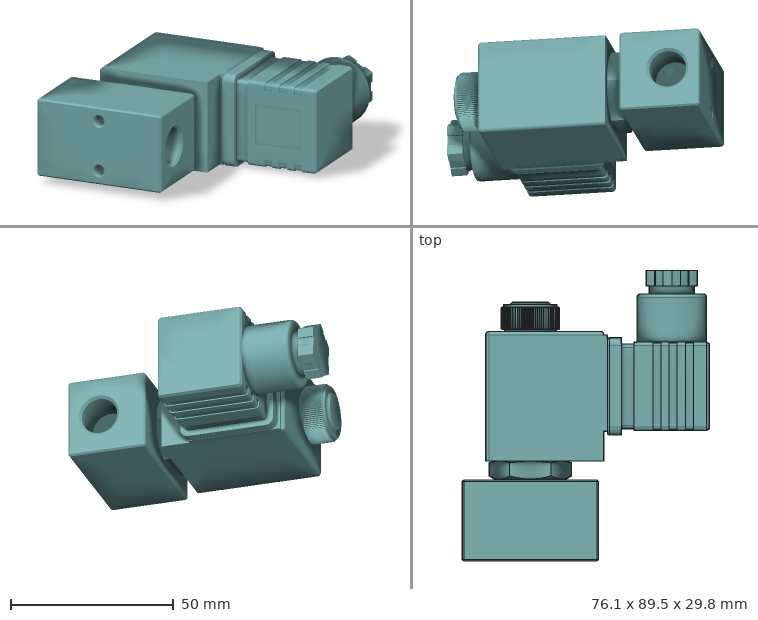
import cadquery as cq
import math


block_length = 42.0
block_size = 25.0
block_chamfer = 0.5
port_diameter = 11.45
port_mouth_diameter = 13.15
port_mouth_depth = 0.8
port_depth = 12.0
port_y = 9.9
mount_hole_diameter = 3.2
mount_mouth_diameter = 4.2
mount_mouth_depth = 0.45
mount_hole_depth = 6.0
mount_hole_spacing = 16.0
drill_point_angle = 118

hex_across_flats = 22.0
hex_length = 5.8
hex_front_face_diameter = 21.1
hex_front_chamfer = 1.25
hex_back_chamfer = 0.5

coil_left = -13.8
coil_right = 22.6
coil_length = 39.9
coil_height = 29.2
coil_fillet = 1.1
coil_front = block_size + hex_length
coil_back = coil_front + coil_length
pad_thickness = 1.1
pad_front = 39.9
pad_back = coil_back - coil_fillet

tube_diameter = 8.6
collar_diameter = 16.0
collar_length = 0.5
knurl_diameter = 18.1
knurl_length = 7.0
knurl_depth = 0.45
knurl_teeth = 90
knurl_chamfer = 0.4
shoulder_diameter = 16.5
shoulder_length = 0.7
cap_base_diameter = 12.6
cap_top_diameter = 10.9
cap_length = 0.8

plug_y = 53.8
flange_width = 30.05
flange_height = 29.8
flange_length = 4.3
flange_corner = 2.5
flange_chamfer_length = 0.7
flange_chamfer_inset = 0.4
neck_size = 26.2
neck_length = 3.9
shell_size = 27.3
shell_length = 23.2
shell_fillet = 1.1
shell_end_chamfer_length = 1.0
shell_end_chamfer_inset = 0.5
flange_x = coil_right + pad_thickness
neck_x = flange_x + flange_length
shell_x = neck_x + neck_length
groove_count = 3
groove_width = 2.5
groove_pitch = 5.0
groove_start = 7.0
groove_depth = 0.4
groove_side_reach = 2.5
label_start = 2.5
label_length = 15.65
label_height = 13.2
label_depth = 0.3

gland_x = shell_x + shell_length / 2
gland_diameter = 21.5
gland_back = 82.2
gland_fillet = 1.1
gland_neck_diameter = 13.95
gland_neck_length = 2.5
gland_nut_radius = 9.1
gland_nut_notch_depth = 0.5
overall_back = 89.45


def rod_y(diameter, start, end, x=0.0):
    """Cylinder along Y from start to end."""
    return cq.Workplane("XZ", origin=(x, start, 0)).circle(diameter / 2).extrude(start - end)


def turned_y(profile):
    """Body turned around the Y axis from (radius, y) points."""
    return cq.Workplane("XY").polyline(profile).close().revolve(360, (0, 0, 0), (0, 1, 0))


def plug_bar(width, height, start, length, corner):
    """Bar along X on the axis of the plug, with rounded long edges; its width is along Y."""
    bar = cq.Workplane("YZ", origin=(start, plug_y, 0)).rect(width, height).extrude(length)
    return bar.edges("|X").fillet(corner)


def drilled_hole(diameter, depth, mouth_diameter, mouth_depth, point_depth):
    """Cutter that points along +Y from Y = 0, with a conical mouth and a conical or flat bottom."""
    radius = diameter / 2
    return turned_y([
        (0, 0),
        (mouth_diameter / 2, 0),
        (radius, mouth_depth),
        (radius, depth),
        (0, depth + point_depth),
    ])


def make_port_block():
    block = cq.Workplane("XY").box(block_length, block_size, block_size)
    block = block.translate((0, block_size / 2, 0)).edges().chamfer(block_chamfer)

    port = drilled_hole(port_diameter, port_depth, port_mouth_diameter, port_mouth_depth, 0)
    for side in (-1, 1):
        cutter = port.rotate((0, 0, 0), (0, 0, 1), side * 90)
        block = block.cut(cutter.translate((side * block_length / 2, port_y, 0)))

    point_depth = mount_hole_diameter / 2 / math.tan(math.radians(drill_point_angle / 2))
    mount_hole = drilled_hole(
        mount_hole_diameter, mount_hole_depth, mount_mouth_diameter, mount_mouth_depth, point_depth
    )
    for side in (-1, 1):
        block = block.cut(mount_hole.translate((0, 0, side * mount_hole_spacing / 2)))
    return block


def make_hexagon():
    corner_radius = hex_across_flats / math.sqrt(3)
    hexagon = cq.Workplane("XZ", origin=(0, block_size, 0))
    hexagon = hexagon.polygon(6, 2 * corner_radius).extrude(-hex_length)
    chamfer_envelope = turned_y([
        (0, block_size),
        (hex_front_face_diameter / 2, block_size),
        (corner_radius, block_size + hex_front_chamfer),
        (corner_radius, coil_front - hex_back_chamfer),
        (hex_across_flats / 2, coil_front),
        (0, coil_front),
    ])
    return hexagon.intersect(chamfer_envelope)


def make_knurled_nut():
    knurl_start = coil_back + collar_length
    knurl_end = knurl_start + knurl_length
    shoulder_end = knurl_end + shoulder_length
    tip_radius = knurl_diameter / 2

    teeth = []
    for i in range(2 * knurl_teeth):
        angle = math.pi * i / knurl_teeth
        radius = tip_radius - knurl_depth * (i % 2)
        teeth.append((radius * math.cos(angle), radius * math.sin(angle)))
    knurl = cq.Workplane("XZ", origin=(0, knurl_start, 0)).polyline(teeth).close().extrude(-knurl_length)
    chamfer_envelope = turned_y([
        (0, knurl_start),
        (tip_radius - knurl_chamfer, knurl_start),
        (tip_radius, knurl_start + knurl_chamfer),
        (tip_radius, knurl_end - knurl_chamfer),
        (tip_radius - knurl_chamfer, knurl_end),
        (0, knurl_end),
    ])
    knurl = knurl.intersect(chamfer_envelope)

    collar = rod_y(collar_diameter, coil_back, knurl_start)
    shoulder = rod_y(shoulder_diameter, knurl_end, shoulder_end)
    cap = turned_y([
        (0, shoulder_end),
        (cap_base_diameter / 2, shoulder_end),
        (cap_top_diameter / 2, shoulder_end + cap_length),
        (0, shoulder_end + cap_length),
    ])
    return knurl.union(collar).union(shoulder).union(cap)


def make_valve():
    tube = rod_y(tube_diameter, coil_front, coil_back)
    return make_port_block().union(make_hexagon()).union(tube).union(make_knurled_nut())


def make_coil():
    coil = cq.Workplane("XY").box(coil_right - coil_left, coil_length, coil_height)
    coil = coil.translate(((coil_left + coil_right) / 2, coil_front + coil_length / 2, 0))
    coil = coil.edges("(<X and |Y) or >Y").fillet(coil_fillet)
    pad = cq.Workplane("XY").box(2 * pad_thickness, pad_back - pad_front, coil_height)
    pad = pad.translate((coil_right, (pad_front + pad_back) / 2, 0))
    tube_bore = rod_y(tube_diameter, coil_front, coil_back)
    return coil.union(pad).cut(tube_bore)


def make_flange():
    flange = plug_bar(flange_width, flange_height, flange_x, flange_length, flange_corner)
    return flange.faces("<X").chamfer(flange_chamfer_length, flange_chamfer_inset)


def make_shell():
    shell = plug_bar(shell_size, shell_size, shell_x, shell_length, shell_fillet)
    shell = shell.faces(">X").chamfer(shell_end_chamfer_length, shell_end_chamfer_inset)

    core_size = shell_size - 2 * groove_depth
    core = plug_bar(core_size, core_size, shell_x, shell_length, shell_fillet - groove_depth)
    for i in range(groove_count):
        groove_x = shell_x + groove_start + i * groove_pitch
        for side in (-1, 1):
            band = cq.Workplane("XY").box(groove_width, shell_size, groove_side_reach)
            band = band.translate((groove_x, plug_y, side * (shell_size - groove_side_reach) / 2))
            shell = shell.cut(band.cut(core))

    label = cq.Workplane("XY").box(label_length, 2 * label_depth, label_height)
    label_x = shell_x + label_start + label_length / 2
    return shell.cut(label.translate((label_x, plug_y - shell_size / 2, 0)))


def make_gland_nut(start):
    """Hexagon with a shallow notch across the middle third of each flat."""
    nut = cq.Workplane("XZ", origin=(gland_x, start, 0)).polygon(6, 2 * gland_nut_radius)
    nut = nut.extrude(start - overall_back).rotate((gland_x, 0, 0), (gland_x, 1, 0), 30)
    flat_distance = gland_nut_radius * math.cos(math.pi / 6)
    notch = cq.Workplane("XY").box(
        2 * gland_nut_notch_depth, overall_back - start, gland_nut_radius / 3
    ).translate((gland_x + flat_distance, (start + overall_back) / 2, 0))
    for i in range(6):
        nut = nut.cut(notch.rotate((gland_x, 0, 0), (gland_x, 1, 0), 60 * i))
    return nut


def make_gland():
    neck_end = gland_back + gland_neck_length
    barrel = rod_y(gland_diameter, plug_y, gland_back, gland_x).faces(">Y").edges().fillet(gland_fillet)
    neck = rod_y(gland_neck_diameter, gland_back, neck_end, gland_x)
    return barrel.union(neck).union(make_gland_nut(neck_end))


def make_plug():
    neck = plug_bar(neck_size, neck_size, neck_x, neck_length, shell_fillet)
    return make_flange().union(neck).union(make_shell().union(make_gland()))


valve = make_valve()
coil = make_coil()
plug = make_plug()

result = cq.Compound.makeCompound([valve.val(), coil.val(), plug.val()])